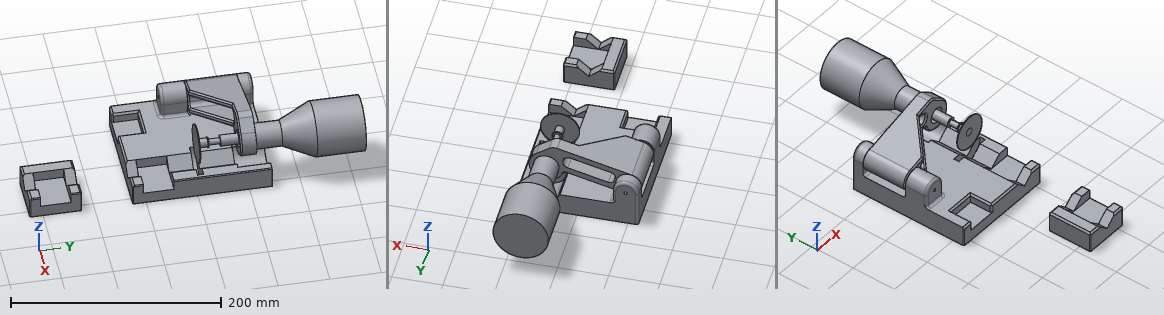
import cadquery as cq
import math


base_width = 117.8
base_depth = 135.0
deck_height = 22.5
front_chamfer = 2.0
edge_chamfer = 1.0

hinge_radius = 12.53
hinge_x = hinge_radius
hinge_z = 37.5
hinge_hole_diameter = 3.0
post_front = 45.2
gap_front = 71.0
gap_back = 122.0
post_round = 3.0
foot_fillet = 3.0

v_from_right = 24.7
v_half_width = 12.5
v_bottom = 12.0
relief_height = v_bottom
relief_start = 10.5
relief_length = 29.5
v_x = base_width - v_from_right

pocket_left = 12.7
pocket_width = 29.5
pocket_depth = 25.5
pocket_floor = 12.7

boss_clearance_radius = 15.0
boss_clearance_front = 103.5
boss_clearance_chamfer = 1.5
disk_slot_radius = 20.2
disk_slot_width = 6.0

arm_tilt = 14.3
arm_front = 71.3
arm_back = 121.7
boss_front = 106.0
boss_radius = 17.0
boss_flat_angle = 40.0
knee_radius = 9.6
armpit_fillet = 2.5
slant_start = 19.0
slant_end = 57.3
window_half_height = 6.5
window_left = 14.3
window_right = 66.5
window_corner = slant_start - window_left
arm_chamfer = 1.5
tool_hole_diameter = 17.0

tool_x = 93.0
tool_z = 44.0
body_diameter = 54.0
body_length = 47.2
cone_length = 31.2
neck_diameter = 25.0
tool_back = 226.0
spindle_diameter = 10.7
spindle_front = 89.2
mandrel_diameter = 6.0
collar_diameter = 10.5
collar_back = 77.8
collar_thickness = 1.0
screw_diameter = 8.8
disk_diameter = 38.0
disk_thickness = 1.0
disk_front = 66.0

block_width = 50.0
block_depth = 50.5
block_front = -99.5


def box(x0, x1, y0, y1, z0, z1):
    return cq.Workplane("XY").box(x1 - x0, y1 - y0, z1 - z0, centered=False).translate((x0, y0, z0))


def cylinder_along_y(x, z, radius, y0, y1):
    return cq.Workplane("XZ", origin=(x, y0, z)).circle(radius).extrude(y0 - y1)


def prism_along_y(points, y0, y1):
    return cq.Workplane("XZ", origin=(0, y0, 0)).polyline(points).close().extrude(y0 - y1)


def v_groove(y0, y1):
    groove = [
        (v_x - v_half_width, deck_height),
        (v_x, v_bottom),
        (v_x + v_half_width, deck_height),
    ]
    return prism_along_y(groove, y0, y1)


def v_relief(front):
    start = front + relief_start
    return box(v_x - v_half_width, base_width, start, start + relief_length, relief_height, deck_height)


def hinge_post(y0, y1, rounded_face):
    upright = box(0, 2 * hinge_radius, y0, y1, 0, hinge_z)
    post = upright.union(cylinder_along_y(hinge_x, hinge_z, hinge_radius, y0, y1))
    post = post.faces(rounded_face).edges("not <Z").fillet(post_round)
    margin = 2 * foot_fillet
    slab = box(-margin, 2 * hinge_radius + margin, y0 - margin, y1 + margin, 0, deck_height)
    outline = cq.selectors.BoxSelector(
        (-foot_fillet, y0 - foot_fillet, deck_height - foot_fillet / 2),
        (2 * hinge_radius + foot_fillet, y1 + foot_fillet, deck_height + foot_fillet / 2),
    )
    return slab.union(post).edges(outline).fillet(foot_fillet)


def base_envelope():
    envelope = box(0, base_width, 0, base_depth, 0, hinge_z + hinge_radius)
    envelope = envelope.edges("|Z and >Y and <X").fillet(post_round)
    return envelope.edges("|Z and <Y").chamfer(edge_chamfer)


def plate_with_pocket():
    plate = box(0, base_width, 0, base_depth, 0, deck_height)
    pocket = box(pocket_left, pocket_left + pocket_width, 0, pocket_depth, pocket_floor, deck_height)
    plate = plate.cut(pocket)
    plate = plate.edges("|Y and >X and >Z").chamfer(edge_chamfer)
    plate = plate.faces("<Y").edges(">Z").chamfer(front_chamfer)
    pocket_right = pocket_left + pocket_width
    x0 = pocket_left - front_chamfer
    x1 = pocket_right + front_chamfer
    rim_base = deck_height - front_chamfer
    rim = (
        cq.Workplane("XY", origin=(0, 0, rim_base))
        .rect(pocket_width, 2 * pocket_depth)
        .workplane(offset=front_chamfer)
        .rect(pocket_width + 2 * front_chamfer, 2 * (pocket_depth + front_chamfer))
        .loft(ruled=True)
        .translate((pocket_left + pocket_width / 2, 0, 0))
    )
    flare = (
        cq.Workplane("XY", origin=(0, 0, pocket_floor))
        .polyline([(x0, 0), (x1, 0), (pocket_right, front_chamfer), (pocket_left, front_chamfer)])
        .close()
        .extrude(deck_height - pocket_floor)
    )
    return plate.cut(rim).cut(flare)


def boss_clearance():
    y0 = boss_clearance_front
    trough = cylinder_along_y(v_x, deck_height, boss_clearance_radius, y0, base_depth)
    c = boss_clearance_chamfer
    r = boss_clearance_radius
    lip = [
        (v_x - r, deck_height - c),
        (v_x + r, deck_height - c),
        (v_x + r + c, deck_height),
        (v_x - r - c, deck_height),
    ]
    return trough.union(prism_along_y(lip, y0, base_depth))


def disk_slot():
    middle = disk_front + disk_thickness / 2
    half = disk_slot_width / 2
    return cylinder_along_y(v_x, deck_height, disk_slot_radius, middle - half, middle + half)


def make_base():
    base = plate_with_pocket()
    base = base.union(hinge_post(post_front, gap_front, "<Y"))
    base = base.union(hinge_post(gap_back, base_depth, ">Y"))
    base = base.intersect(base_envelope())
    base = base.cut(v_groove(0, base_depth)).cut(v_relief(0))
    base = base.cut(boss_clearance()).cut(disk_slot())
    return base.cut(cylinder_along_y(hinge_x, hinge_z, hinge_hole_diameter / 2, 0, base_depth))


def level_position(x, z):
    """Position of a point relative to the hinge, with the arm turned level."""
    tilt = math.radians(arm_tilt)
    dx = x - hinge_x
    dz = z - hinge_z
    return dx * math.cos(tilt) + dz * math.sin(tilt), dz * math.cos(tilt) - dx * math.sin(tilt)


def arm_side_profile():
    """Level outline: hinge round, bar, knee, flat and boss round."""
    boss_x, boss_z = level_position(tool_x, tool_z)
    flat = math.radians(boss_flat_angle)
    nx, nz = math.cos(flat), math.sin(flat)
    flat_x = boss_x + boss_radius * nx
    flat_z = boss_z + boss_radius * nz
    corner_x = flat_x - (hinge_radius - flat_z) * nz / nx
    turn = math.pi / 2 - flat
    knee_tangent = knee_radius * math.tan(turn / 2)
    rise = -hinge_radius - boss_z
    under_x = boss_x - math.sqrt(boss_radius**2 - rise**2)
    profile = (
        cq.Workplane("XZ")
        .moveTo(0, hinge_radius)
        .lineTo(corner_x - knee_tangent, hinge_radius)
        .radiusArc((corner_x + knee_tangent * nz, hinge_radius - knee_tangent * nx), knee_radius)
        .lineTo(flat_x, flat_z)
        .threePointArc((boss_x, boss_z - boss_radius), (under_x, -hinge_radius))
        .lineTo(0, -hinge_radius)
        .threePointArc((-hinge_radius, 0), (0, hinge_radius))
        .close()
    )
    bar = profile.extrude(-arm_back)
    armpit = cq.selectors.BoxSelector(
        (under_x - 0.3, 0, -hinge_radius - 0.3), (under_x + 0.3, arm_back, -hinge_radius + 0.3)
    )
    return bar.edges(armpit).fillet(armpit_fillet)


def arm_window():
    h = window_half_height
    window = (
        cq.Workplane("XZ")
        .moveTo(window_left, h)
        .lineTo(window_right - h, h)
        .threePointArc((window_right, 0), (window_right - h, -h))
        .lineTo(window_left, -h)
        .close()
        .extrude(-arm_back)
    )
    return window.edges("|Y and <X").fillet(window_corner)


def arm_plan():
    """Plan of the arm, standing taller and wider than the level side outline."""
    far = 2 * tool_x
    corners = [
        (-far, arm_front),
        (slant_start, arm_front),
        (slant_end, boss_front),
        (far, boss_front),
        (far, arm_back),
        (-far, arm_back),
    ]
    return cq.Workplane("XY", origin=(0, 0, -far)).polyline(corners).close().extrude(2 * far)


def chamfer_front_outline(arm):
    """Chamfer the outer and window edges of the front faces, leaving the bends between them sharp."""

    def column(x, y):
        return cq.selectors.BoxSelector((x - 0.3, y - 0.3, -tool_x), (x + 0.3, y + 0.3, tool_x))

    front_edges = cq.selectors.StringSyntaxSelector("not (>Y or |Y)")
    bends = column(slant_start, arm_front) + column(slant_end, boss_front)
    return arm.edges(front_edges - bends).chamfer(arm_chamfer)


def make_arm():
    arm = arm_side_profile().intersect(arm_plan()).cut(arm_window())
    arm = chamfer_front_outline(arm)
    boss_x, boss_z = level_position(tool_x, tool_z)
    arm = arm.cut(cylinder_along_y(boss_x, boss_z, tool_hole_diameter / 2, 0, arm_back))
    arm = arm.cut(cylinder_along_y(0, 0, hinge_hole_diameter / 2, 0, arm_back))
    arm = arm.rotate((0, 0, 0), (0, 1, 0), -arm_tilt)
    return arm.translate((hinge_x, 0, hinge_z))


def make_tool():
    body_front = tool_back - body_length
    neck_back = body_front - cone_length
    disk_back = disk_front + disk_thickness
    collar_front = collar_back - collar_thickness
    profile = [
        (0, disk_front),
        (disk_diameter / 2, disk_front),
        (disk_diameter / 2, disk_back),
        (screw_diameter / 2, disk_back),
        (screw_diameter / 2, collar_front),
        (collar_diameter / 2, collar_front),
        (collar_diameter / 2, collar_back),
        (mandrel_diameter / 2, collar_back),
        (mandrel_diameter / 2, spindle_front),
        (spindle_diameter / 2, spindle_front),
        (spindle_diameter / 2, arm_back),
        (neck_diameter / 2, arm_back),
        (neck_diameter / 2, neck_back),
        (body_diameter / 2, body_front),
        (body_diameter / 2, tool_back),
        (0, tool_back),
    ]
    turned = cq.Workplane("XY").polyline(profile).close().revolve(360, (0, 0, 0), (0, 1, 0))
    return turned.translate((tool_x, 0, tool_z))


def make_block():
    left = base_width - block_width
    block_back = block_front + block_depth
    block = box(left, base_width, block_front, block_back, 0, deck_height)
    block = block.edges("|Y and >X and >Z").chamfer(edge_chamfer)
    block = block.faces(">Z").edges("<X or <Y or >Y").chamfer(front_chamfer)
    corners = box(left, base_width, block_front, block_back, 0, deck_height).edges("|Z").chamfer(edge_chamfer)
    block = block.intersect(corners)
    return block.cut(v_groove(block_front, block_back)).cut(v_relief(block_front))


base = make_base()
arm = make_arm()
tool = make_tool()
block = make_block()
result = cq.Compound.makeCompound([base.val(), arm.val(), tool.val(), block.val()])